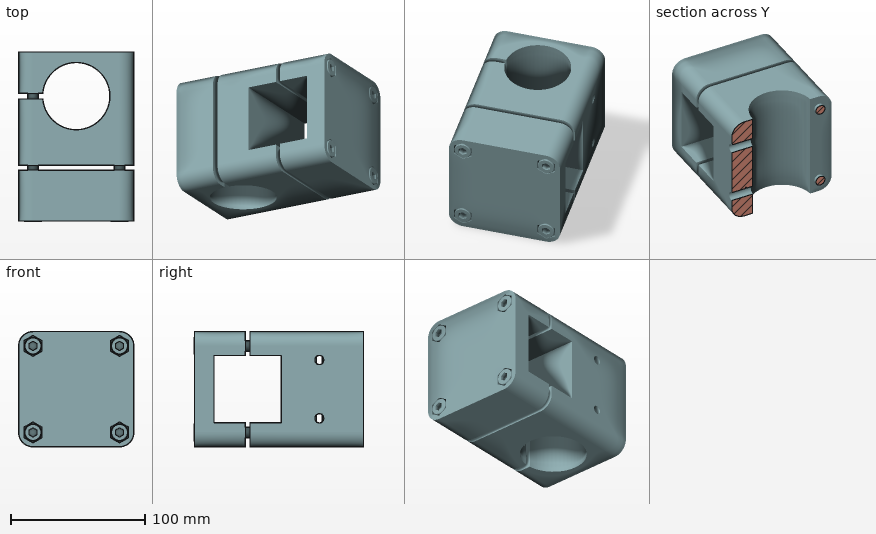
import cadquery as cq
import math

total_length = 126.5
side = 86.0
body_length = 126.1
corner_radius = 10.8

bore_diameter = 50.0
bore_to_back = 33.0
round_clamp_y = body_length - bore_to_back
slit_width = 4.0
side_hole_diameter = 6.7
side_hole_z = 21.8

window_side = 50.0
gap_width = 3.4
window_to_back = 86.4
square_clamp_y = body_length - window_to_back

screw_offset = side / 2 - corner_radius
shank_diameter = 8.0
head_diameter = 12.8
head_height = 8.0
head_protrusion = total_length - body_length
head_chamfer = 0.4
socket_width = 6.0
socket_depth = 4.0
pocket_width = 13.5
head_seat_y = head_height - head_protrusion
shank_end_y = round_clamp_y + slit_width
screw_centres = [
    (x_sign * screw_offset, z_sign * screw_offset)
    for x_sign in (-1, 1)
    for z_sign in (-1, 1)
]


def hexagon(width, start_y, length):
    """Hexagonal prism running towards +Y, with its points up and down (Z)."""
    corner_diameter = width / math.cos(math.radians(30))
    return (
        cq.Workplane("XZ", origin=(0, start_y, 0))
        .transformed(rotate=(0, 0, 90))
        .polygon(6, corner_diameter)
        .extrude(-length)
    )


def rod(diameter, start_y, length):
    """Round rod running towards +Y."""
    return cq.Workplane("XZ", origin=(0, start_y, 0)).circle(diameter / 2).extrude(-length)


def make_body():
    body = cq.Workplane("XY").box(side, body_length, side).edges("|Y").fillet(corner_radius)
    return body.translate((0, body_length / 2, 0))


def cut_round_clamp(body):
    bore = cq.Workplane("XY").circle(bore_diameter / 2).extrude(side / 2, both=True)
    slit = cq.Workplane("XY").box(side / 2, slit_width, side).translate((-side / 4, 0, 0))
    holes = (
        cq.Workplane("YZ")
        .pushPoints([(0, side_hole_z), (0, -side_hole_z)])
        .circle(side_hole_diameter / 2)
        .extrude(side / 2)
    )
    return body.cut(bore.union(slit).union(holes).translate((0, round_clamp_y, 0)))


def cut_square_clamp(body):
    window = cq.Workplane("XY").box(side, window_side, window_side)
    gap = cq.Workplane("XY").box(side, gap_width, side)
    return body.cut(window.union(gap).translate((0, square_clamp_y, 0)))


def make_screw():
    """Socket head screw whose shank reaches from the head seat across the slit."""
    head = rod(head_diameter, -head_protrusion, head_height).faces("<Y").chamfer(head_chamfer)
    socket = hexagon(socket_width, -head_protrusion, socket_depth)
    shank = rod(shank_diameter, head_seat_y, shank_end_y - head_seat_y)
    return head.cut(socket).union(shank)


result = cut_square_clamp(cut_round_clamp(make_body()))
pocket = hexagon(pocket_width, 0, head_seat_y)
screw = make_screw()
for x, z in screw_centres:
    result = result.cut(pocket.translate((x, 0, z)))
    result = result.union(screw.translate((x, 0, z)))